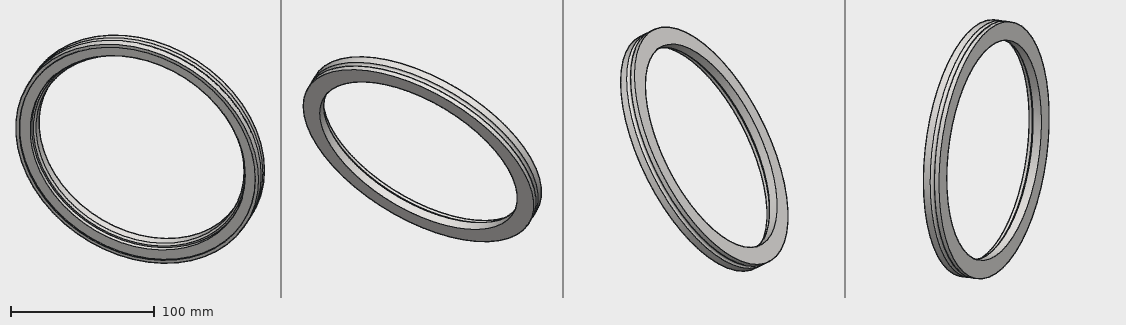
import cadquery as cq

outer_radius = 90.0
bore_radius = 77.0
width = 12.0
front_y = -width / 2
back_y = width / 2

recess_radius = 87.5
recess_depth = 1.3
recess_y = front_y + recess_depth

counterbore_radius = 79.7
counterbore_depth = 3.0
counterbore_y = recess_y + counterbore_depth

chamfer_size = 1.5
chamfer_radius = bore_radius + chamfer_size
chamfer_end_y = counterbore_y + chamfer_size

groove_width = 3.2
groove_depth = 1.5
groove_y = 0.9
groove_front_y = groove_y - groove_width / 2
groove_back_y = groove_y + groove_width / 2
groove_bottom = (outer_radius - groove_depth, groove_y)

section = (
    cq.Workplane("XY")
    .moveTo(recess_radius, front_y)
    .lineTo(outer_radius, front_y)
    .lineTo(outer_radius, groove_front_y)
    .threePointArc(groove_bottom, (outer_radius, groove_back_y))
    .lineTo(outer_radius, back_y)
    .lineTo(bore_radius, back_y)
    .lineTo(bore_radius, chamfer_end_y)
    .lineTo(chamfer_radius, counterbore_y)
    .lineTo(counterbore_radius, counterbore_y)
    .lineTo(counterbore_radius, recess_y)
    .lineTo(recess_radius, recess_y)
    .close()
)

result = section.revolve(360, (0, 0, 0), (0, 1, 0))